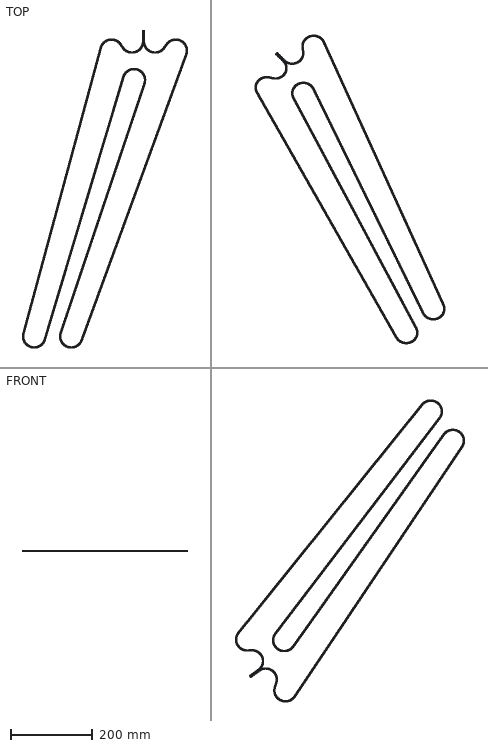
import cadquery as cq
import math

LENGTH = 782.0
WIRE_DIAMETER = 2.1
BEND_RADIUS = 27.0
TAIL_PITCH = 2.2

TAIL_BEND_X = BEND_RADIUS + TAIL_PITCH / 2
TAIL_BEND_Y = -26.0
SHOULDER_Y = -48.5
LEFT_SHOULDER_X = -79.0
RIGHT_SHOULDER_X = 80.0
LOOP_Y = -(LENGTH - BEND_RADIUS - WIRE_DIAMETER / 2)
LEFT_LOOP_X = -270.0
RIGHT_LOOP_X = -178.0
MIDDLE_X = -23.5
MIDDLE_Y = -121.0

CLOCKWISE = -1
COUNTERCLOCKWISE = 1

BENDS = [
    (-TAIL_BEND_X, TAIL_BEND_Y, CLOCKWISE),
    (LEFT_SHOULDER_X, SHOULDER_Y, COUNTERCLOCKWISE),
    (LEFT_LOOP_X, LOOP_Y, COUNTERCLOCKWISE),
    (MIDDLE_X, MIDDLE_Y, CLOCKWISE),
    (RIGHT_LOOP_X, LOOP_Y, COUNTERCLOCKWISE),
    (RIGHT_SHOULDER_X, SHOULDER_Y, COUNTERCLOCKWISE),
    (TAIL_BEND_X, TAIL_BEND_Y, CLOCKWISE),
]


def point_on_bend(bend, heading):
    """Point where the wire has the given heading on a bend."""
    x, y, turn = bend
    return (
        x + turn * BEND_RADIUS * math.sin(heading),
        y - turn * BEND_RADIUS * math.cos(heading),
    )


def tangent_heading(start, end):
    """Heading of the straight run tangent to two successive bends."""
    dx = end[0] - start[0]
    dy = end[1] - start[1]
    offset = BEND_RADIUS * (end[2] - start[2])
    return math.atan2(dy, dx) - math.asin(offset / math.hypot(dx, dy))


def wire_axis():
    """Centre line from the left tail tip to the right tail tip."""
    down = -math.pi / 2
    up = math.pi / 2
    headings = [down]
    headings += [tangent_heading(start, end) for start, end in zip(BENDS, BENDS[1:])]
    headings.append(up)

    axis = cq.Workplane("XY").moveTo(-TAIL_PITCH / 2, 0)
    for bend, heading_in, heading_out in zip(BENDS, headings, headings[1:]):
        turn = bend[2]
        sweep_angle = (turn * (heading_out - heading_in)) % (2 * math.pi)
        heading_middle = heading_in + turn * sweep_angle / 2
        axis = axis.lineTo(*point_on_bend(bend, heading_in))
        axis = axis.threePointArc(
            point_on_bend(bend, heading_middle), point_on_bend(bend, heading_out)
        )
    return axis.lineTo(TAIL_PITCH / 2, 0)


wire_section = cq.Workplane("XZ", origin=(-TAIL_PITCH / 2, 0, 0)).circle(WIRE_DIAMETER / 2)
result = wire_section.sweep(wire_axis())